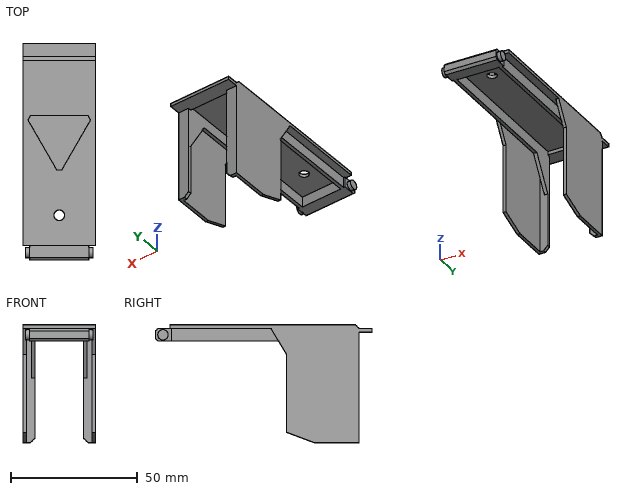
import cadquery as cq


width = 28.8
length = 85.6
height = 46.7

sheet = 1.5
tongue_length = 5.1
roof_front = -74.7

wall_thickness = 1.4
wall_front = -28.8
wall_slope_top = -34.8
wall_slope_bottom = -11.7
wall_foot_front = -17.55
wall_toe = -42.55

flange_inner = 9.5
flange_chamfer = 2.0
rail_outer = 11.0
rail_bottom = -6.5
gusset_bottom = -21.15

block_width = 23.45
block_front = tongue_length - length
block_rear = -74.05
block_chamfer = 1.0
pin_span = 26.7
pin_radius = 2.05
pin_y = -77.5
pin_z = (rail_bottom - sheet) / 2

hole_y = -62.75
hole_radius = 2.05
arrow_rear = -23.4
arrow_shoulder = -25.2
arrow_tip = -44.8
arrow_rear_half = 11.4
arrow_shoulder_half = 12.3
arrow_tip_half = 1.0
arrow_depth = 0.25


def side_profile(points, x_start, x_end):
    """Extrude a (Y, Z) outline between two X positions."""
    plane = cq.Workplane("YZ").workplane(offset=x_start)
    return plane.polyline(points).close().extrude(x_end - x_start)


def make_roof():
    points = [(0, -sheet), (-sheet, 0), (roof_front, 0), (roof_front, -sheet)]
    return side_profile(points, -width / 2, width / 2)


def make_tongue():
    points = [
        (tongue_length, -sheet),
        (-sheet, -sheet),
        (-sheet, -2 * sheet),
        (tongue_length, -2 * sheet),
    ]
    return side_profile(points, -width / 2, width / 2)


def make_wall():
    points = [
        (0, -sheet),
        (wall_slope_top, -sheet),
        (wall_front, wall_slope_bottom),
        (wall_front, wall_toe),
        (wall_foot_front, -height),
        (0, -height),
    ]
    return side_profile(points, width / 2 - wall_thickness, width / 2)


def make_flange():
    wall_inner = width / 2 - wall_thickness
    points = [
        (wall_inner, -sheet),
        (flange_inner, -sheet),
        (flange_inner, flange_chamfer - height),
        (flange_inner + flange_chamfer, -height),
        (wall_inner, -height),
    ]
    return cq.Workplane("XZ").polyline(points).close().extrude(sheet)


def make_rail():
    slope_run = (wall_front - wall_slope_top) / (-sheet - wall_slope_bottom)
    gusset_front = -sheet - slope_run * (rail_bottom - gusset_bottom)
    points = [
        (-sheet, -sheet),
        (block_rear, -sheet),
        (block_rear, rail_bottom),
        (gusset_front, rail_bottom),
        (-sheet, gusset_bottom),
    ]
    return side_profile(points, flange_inner, rail_outer)


def make_hinge():
    points = [
        (block_rear, -sheet),
        (block_front, -sheet),
        (block_front, rail_bottom),
        (block_rear, rail_bottom),
    ]
    block = side_profile(points, -block_width / 2, block_width / 2)
    block = block.faces("<Y").edges("|X").chamfer(block_chamfer)
    pin = (
        cq.Workplane("YZ", origin=(-pin_span / 2, pin_y, pin_z))
        .circle(pin_radius)
        .extrude(pin_span)
    )
    return block.union(pin)


def make_arrow_recess():
    right_side = [
        (arrow_rear_half, arrow_rear),
        (arrow_shoulder_half, arrow_shoulder),
        (arrow_tip_half, arrow_tip),
    ]
    left_side = [(-x, y) for x, y in reversed(right_side)]
    return cq.Workplane("XY").polyline(right_side + left_side).close().extrude(-arrow_depth)


def make_hole():
    return cq.Workplane("XY").center(0, hole_y).circle(hole_radius).extrude(-sheet)


result = make_roof().union(make_tongue()).union(make_hinge())
for side_part in (make_wall(), make_flange(), make_rail()):
    result = result.union(side_part).union(side_part.mirror("YZ"))
result = result.cut(make_arrow_recess()).cut(make_hole())